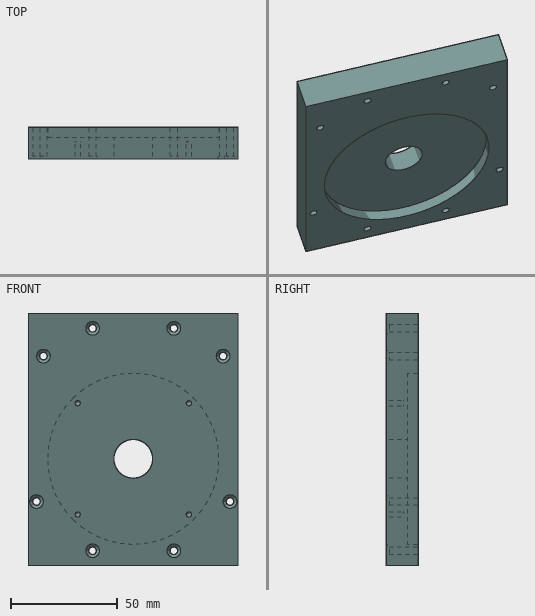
import cadquery as cq
import math

plate_width = 98.0
plate_thickness = 15.0
plate_height = 118.0

bore_diameter = 18.0
bore_z = -9.0

recess_diameter = 80.0
recess_depth = 5.0

screw_diameter = 3.4
countersink_diameter = 6.4
countersink_angle = 90.0
end_row_x = 19.0
end_row_z = 52.0
upper_side_x = 42.0
upper_side_z = 39.0
lower_side_x = 45.25
lower_side_z = -29.0

tap_diameter = 2.46
tap_depth = 8.0
tap_pitch = 52.0
drill_point_angle = 118.0


def mirrored(x, z):
    """The same height on the left and right of the plate."""
    return [(-x, z), (x, z)]


def make_plate():
    return cq.Workplane("XY").box(plate_width, plate_thickness, plate_height)


def front_face(body):
    """Sketch plane on the -Y face: local x is X and local y is Z."""
    return body.faces("<Y").workplane(centerOption="CenterOfBoundBox")


def cut_bore(body):
    return front_face(body).center(0, bore_z).hole(bore_diameter)


def cut_back_recess(body):
    recess = (
        cq.Workplane("XZ", origin=(0, plate_thickness / 2, bore_z))
        .circle(recess_diameter / 2)
        .extrude(recess_depth)
    )
    return body.cut(recess)


def cut_screw_holes(body):
    points = (
        mirrored(end_row_x, end_row_z)
        + mirrored(end_row_x, -end_row_z)
        + mirrored(upper_side_x, upper_side_z)
        + mirrored(lower_side_x, lower_side_z)
    )
    return front_face(body).pushPoints(points).cskHole(screw_diameter, countersink_diameter, countersink_angle)


def drill_tool(radius, depth):
    """Straight drill with a conical tip, entering the -Y face at X = Z = 0."""
    tip_length = radius / math.tan(math.radians(drill_point_angle / 2))
    half_profile = (
        cq.Workplane("XY")
        .moveTo(0, 0)
        .lineTo(radius, 0)
        .lineTo(radius, depth)
        .lineTo(0, depth + tip_length)
        .close()
    )
    drill = half_profile.revolve(360, (0, 0, 0), (0, 1, 0))
    return drill.translate((0, -plate_thickness / 2, 0))


def cut_tap_holes(body):
    drill = drill_tool(tap_diameter / 2, tap_depth)
    for z in (bore_z - tap_pitch / 2, bore_z + tap_pitch / 2):
        for x in (-tap_pitch / 2, tap_pitch / 2):
            body = body.cut(drill.translate((x, 0, z)))
    return body


result = make_plate()
result = cut_bore(result)
result = cut_back_recess(result)
result = cut_screw_holes(result)
result = cut_tap_holes(result)